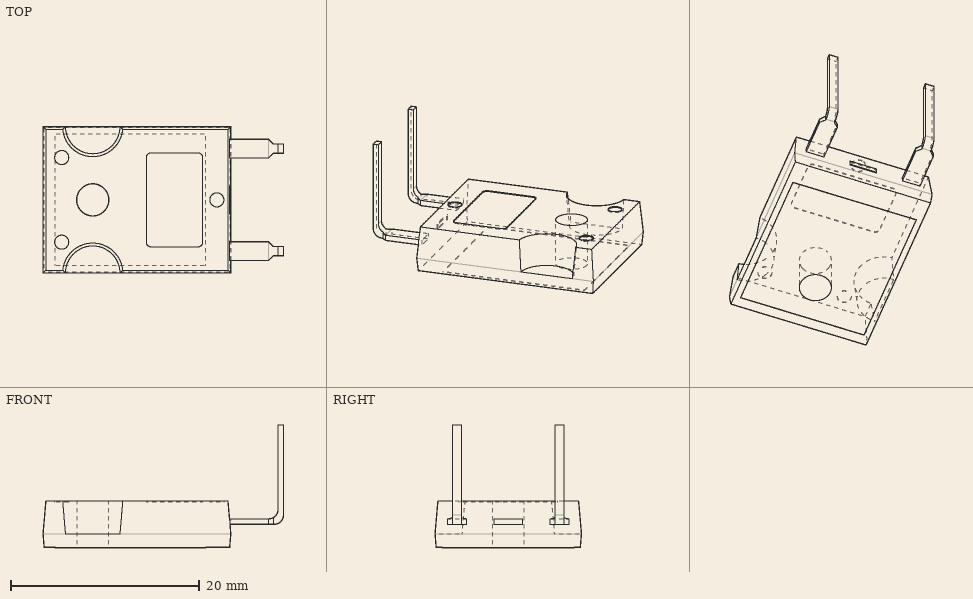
import cadquery as cq
import math


body_length = 20.0
body_width = 15.6
body_bottom_z = 0.05
parting_z = 1.5
body_top_z = 5.0
draft_angle = 5.0
hole_to_left_end = 5.3
body_left_x = -hole_to_left_end
body_right_x = body_left_x + body_length
body_center_x = (body_left_x + body_right_x) / 2

mounting_hole_diameter = 3.4
notch_floor_diameter = 5.8
notch_center_y = body_width / 2

recess_depth = 0.1
label_length = 6.0
label_width = 10.0
label_corner_radius = 0.5
label_offset = 4.0
label_center_x = body_center_x + label_offset
ejector_mark_diameter = 1.5
left_mark_margin = 2.0
right_mark_margin = 1.5
left_mark_spacing = 9.0
left_mark_x = body_left_x + left_mark_margin
right_mark_x = body_right_x - right_mark_margin
ejector_mark_places = [
    (left_mark_x, left_mark_spacing / 2),
    (left_mark_x, -left_mark_spacing / 2),
    (right_mark_x, 0),
]

pad_length = 16.0
pad_width = 14.0
pad_left_margin = 1.3
pad_left_x = body_left_x + pad_left_margin

lead_reach = 5.6
lead_top_z = 13.1
lead_bottom_z = 2.5
lead_thickness = 0.6
lead_pitch = 10.9
lead_wide_width = 2.0
lead_narrow_width = 1.0
lead_wide_reach = 4.0
lead_taper_length = 0.5
lead_inner_bend_radius = 1.0
lead_outer_bend_radius = 1.0
lead_embed = 1.0
lead_root_x = body_right_x - lead_embed
lead_end_x = body_right_x + lead_reach

stub_width = 3.0


def draft_inset(height):
    """Sideways shift of a drafted wall over the given height."""
    return height * math.tan(math.radians(draft_angle))


def drafted_block(height):
    """Block on the parting plane tapering inward in the direction of its signed height."""
    return (
        cq.Workplane("XY", origin=(body_center_x, 0, parting_z))
        .rect(body_length, body_width)
        .extrude(height, taper=draft_angle)
    )


def clip_notch(side):
    """Conical cutter that opens upward at one long edge of the body."""
    height = body_top_z - parting_z
    floor_radius = notch_floor_diameter / 2
    top_radius = floor_radius + draft_inset(height)
    cone = cq.Solid.makeCone(floor_radius, top_radius, height)
    return cq.Workplane(cone).translate((0, side * notch_center_y, parting_z))


def top_recesses():
    """Cutters for the label panel and the round ejector marks."""
    floor_z = body_top_z - recess_depth
    label = (
        cq.Workplane("XY", origin=(label_center_x, 0, floor_z))
        .rect(label_length, label_width)
        .extrude(recess_depth)
        .edges("|Z")
        .fillet(label_corner_radius)
    )
    marks = (
        cq.Workplane("XY", origin=(0, 0, floor_z))
        .pushPoints(ejector_mark_places)
        .circle(ejector_mark_diameter / 2)
        .extrude(recess_depth)
    )
    return label.union(marks)


def heat_pad():
    """Rectangular pad reaching from the underside up into the body."""
    return (
        cq.Workplane("XY", origin=(pad_left_x + pad_length / 2, 0, 0))
        .rect(pad_length, pad_width)
        .extrude(parting_z)
    )


def bent_lead(center_y):
    """Flat lead that narrows at the bend and then rises vertically."""
    inner_x = lead_end_x - lead_thickness
    inner_z = lead_bottom_z + lead_thickness
    side_profile = (
        cq.Workplane("XZ", origin=(0, center_y, 0))
        .moveTo(lead_root_x, lead_bottom_z)
        .lineTo(lead_end_x - lead_outer_bend_radius, lead_bottom_z)
        .radiusArc((lead_end_x, lead_bottom_z + lead_outer_bend_radius), -lead_outer_bend_radius)
        .lineTo(lead_end_x, lead_top_z)
        .lineTo(inner_x, lead_top_z)
        .lineTo(inner_x, inner_z + lead_inner_bend_radius)
        .radiusArc((inner_x - lead_inner_bend_radius, inner_z), lead_inner_bend_radius)
        .lineTo(lead_root_x, inner_z)
        .close()
        .extrude(lead_wide_width / 2, both=True)
    )
    taper_start_x = body_right_x + lead_wide_reach
    taper_end_x = taper_start_x + lead_taper_length
    plan_outline = (
        cq.Workplane("XY", origin=(0, center_y, 0))
        .moveTo(lead_root_x, -lead_wide_width / 2)
        .lineTo(taper_start_x, -lead_wide_width / 2)
        .lineTo(taper_end_x, -lead_narrow_width / 2)
        .lineTo(lead_end_x, -lead_narrow_width / 2)
        .lineTo(lead_end_x, lead_narrow_width / 2)
        .lineTo(taper_end_x, lead_narrow_width / 2)
        .lineTo(taper_start_x, lead_wide_width / 2)
        .lineTo(lead_root_x, lead_wide_width / 2)
        .close()
        .extrude(lead_top_z)
    )
    return side_profile.intersect(plan_outline)


def middle_stub():
    """Cropped middle lead."""
    return (
        cq.Workplane("XY", origin=(body_right_x - lead_embed / 2, 0, lead_bottom_z))
        .rect(lead_embed, stub_width)
        .extrude(lead_thickness)
    )


def mounting_hole():
    """Cutter through the full height of the body and pad."""
    return cq.Workplane("XY").circle(mounting_hole_diameter / 2).extrude(body_top_z)


upper_body = drafted_block(body_top_z - parting_z)
for side in (-1, 1):
    upper_body = upper_body.cut(clip_notch(side))
upper_body = upper_body.cut(top_recesses())
lower_body = drafted_block(body_bottom_z - parting_z)
package = upper_body.union(lower_body).union(heat_pad())

for side in (-1, 1):
    package = package.union(bent_lead(side * lead_pitch / 2))
package = package.union(middle_stub())

result = package.cut(mounting_hole())